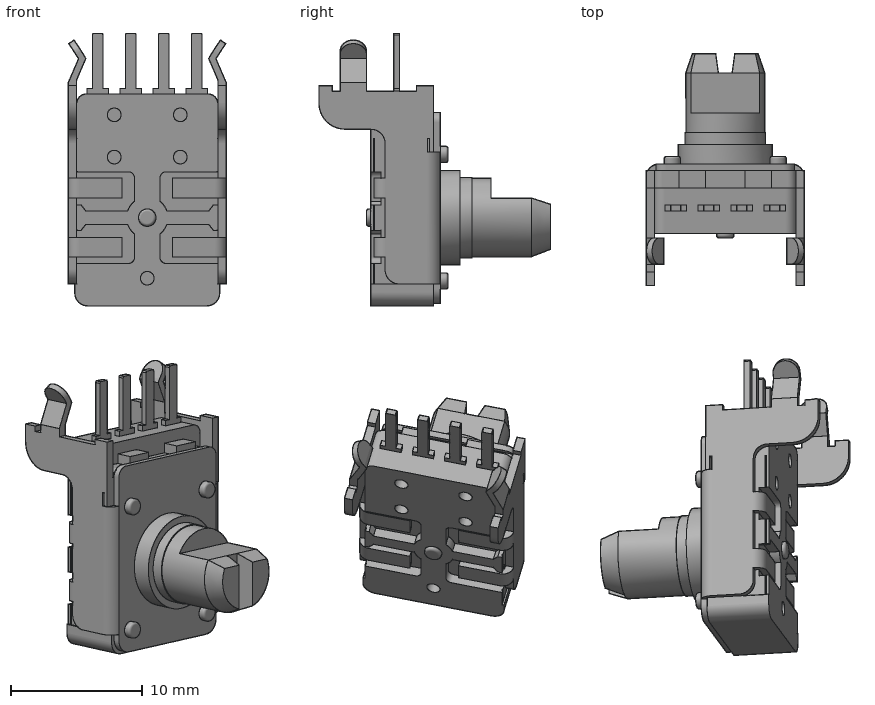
import cadquery as cq
import math


body_depth = 4.78
body_top = 9.4
body_bottom = -6.7
body_half_width = 5.36
body_top_radius = 0.77
ledge_front = 3.48
ledge_top = 7.75
ledge_radius = 0.58
horn_top = 8.49
horn_inner = 1.51
horn_outer = 3.52
groove_front = 0.23
groove_width = 0.08
groove_depth = 0.06
groove_top = 6.0
foot_half_width = 5.5
foot_top = -5.03
foot_radius = 1.0

sheet = 0.65
bracket_half_width = body_half_width + sheet
bracket_bend_radius = 1.0
cover_back = 5.3
cover_top = 8.0
cover_bottom = -6.52
cover_half_width = 5.24
cover_top_radius = 0.77
cover_bottom_radius = 1.04
bend_top = 4.97
relief_width = 0.17
relief_height = 1.04

wall_top = 9.6
lug_top = 10.02
back_lug_front = ledge_front
front_lug_back = -2.9
arm_front = -3.93
arm_bottom = 6.7
arm_radius = 1.99
wall_front = 1.1
wall_corner_radius = 1.08

finger_low = 1.5
finger_high = 3.0
finger_front = 0.25
finger_tip = 1.9

clip_back = -0.31
clip_front = -2.32
clip_width = clip_back - clip_front
clip_kink_x = 5.22
clip_kink_z = 12.07
clip_kink_inner_x = 4.65
clip_bend_outer_z = 10.25
clip_bend_inner_z = 10.43
clip_tip_angle = 33.2
clip_tip_length = 1.37
clip_tip_thickness = 0.5

pocket_depth = 0.79
pocket_inner = 0.97
pocket_low = 0.52
pocket_high = 3.48
pocket_corner_radius = 0.45
pocket_mouth_low = 0.97
pocket_mouth_start = 4.68
pocket_mouth_end = 5.03
pip_land_radius = 1.57

hole_radius = 0.52
hole_depth = 1.0
hole_places = [(-2.5, 7.8), (2.5, 7.8), (-2.5, 4.6), (2.5, 4.6), (0, -4.6)]
pip_radius = 0.66
pip_height = 0.33
pip_rounding = 0.2

pin_pitch = 2.5
pin_count = 4
pin_width = 0.83
overall_height = 20.7
pin_top = body_bottom + overall_height
pin_front = 1.74
pin_back = 2.2
pin_taper = 0.06
pin_taper_height = 0.12
pin_foot_width = 1.64
pin_foot_height = 0.41
pin_embed = 1.04

rivet_x = 4.02
rivet_z = 4.8
rivet_radius = 0.62
rivet_height = 0.58
rivet_rounding = 0.19

boss_radius = 3.58
boss_end = 6.79
collar_radius = 3.06
collar_end = 7.68
shaft_radius = 3.0
flat_start = 9.15
flat_height = 1.5
tip_start = 12.21
tip_end = 13.66
tip_radius = 2.5
flat_tip_height = 1.01
slot_floor_width = 1.04
slot_mouth_width = 1.43


def block(x0, x1, y0, y1, z0, z1):
    """Box between two opposite corners."""
    return cq.Workplane("XY").box(x1 - x0, y1 - y0, z1 - z0, centered=False).translate((x0, y0, z0))


def plane_at_y(y):
    """Workplane at a given Y with local axes X and Z; extrusions run toward -Y."""
    return cq.Workplane("XZ", origin=(0, y, 0))


def cylinder_y(radius, y0, y1, x=0, z=0):
    """Cylinder along Y between y0 and y1."""
    return plane_at_y(y1).center(x, z).circle(radius).extrude(y1 - y0)


def both_sides(half):
    """A +X half together with its mirror image."""
    return half.union(half.mirror("YZ"))


def make_body():
    """Housing block with a low rear ledge, two locating horns on it and a slightly wider foot."""
    upper = block(-body_half_width, body_half_width, 0, ledge_front, foot_top, body_top)
    upper = upper.edges("|Y and >Z").fillet(body_top_radius)
    ledge = block(-body_half_width, body_half_width, ledge_front, body_depth, foot_top, ledge_top)
    ledge = ledge.edges("|Y and >Z").fillet(ledge_radius)
    horn = block(horn_inner, horn_outer, ledge_front, body_depth, foot_top, horn_top)
    foot = block(-foot_half_width, foot_half_width, 0, body_depth, body_bottom, foot_top)
    foot = foot.edges("|Y and <Z").fillet(foot_radius)
    groove = block(
        body_half_width - groove_depth, body_half_width,
        groove_front, groove_front + groove_width,
        foot_top, groove_top,
    )
    return upper.union(ledge).union(both_sides(horn)).union(foot).cut(both_sides(groove))


def make_pocket(side):
    """Pocket under one finger on the +X side, above (side = 1) or below (side = -1) the axis."""
    outline = (
        plane_at_y(pocket_depth)
        .moveTo(pocket_inner, side * pocket_low)
        .lineTo(pocket_mouth_start, side * pocket_low)
        .lineTo(pocket_mouth_end, side * pocket_mouth_low)
        .lineTo(bracket_half_width, side * pocket_mouth_low)
        .lineTo(bracket_half_width, side * pocket_high)
        .lineTo(pocket_inner, side * pocket_high)
        .close()
        .extrude(pocket_depth)
    )
    far_corner = cq.selectors.NearestToPointSelector((pocket_inner, pocket_depth / 2, side * pocket_high))
    outline = outline.edges("|Y").edges(far_corner).fillet(pocket_corner_radius)
    return outline.cut(cylinder_y(pip_land_radius, 0, pocket_depth))


def make_cover():
    """Back plate bent forward into the side walls over its middle length."""
    plate = block(-cover_half_width, cover_half_width, body_depth, cover_back, cover_bottom, cover_top)
    plate = plate.edges("|Y and >Z").fillet(cover_top_radius)
    plate = plate.edges("|Y and <Z").fillet(cover_bottom_radius)
    bend_start = cover_back - bracket_bend_radius - sheet
    bent = block(-bracket_half_width, bracket_half_width, bend_start, cover_back, foot_top, bend_top)
    bent = bent.edges("|Z and >Y").fillet(bracket_bend_radius)
    return plate.union(bent)


def make_wall():
    """Side wall on the +X side, with its lugs and forward arm."""
    wall = (
        cq.Workplane("YZ", origin=(body_half_width, 0, 0))
        .moveTo(body_depth, lug_top)
        .lineTo(back_lug_front, lug_top)
        .lineTo(back_lug_front, wall_top)
        .lineTo(front_lug_back, wall_top)
        .lineTo(front_lug_back, lug_top)
        .lineTo(arm_front, lug_top)
        .lineTo(arm_front, arm_bottom + arm_radius)
        .radiusArc((arm_front + arm_radius, arm_bottom), -arm_radius)
        .lineTo(wall_front - wall_corner_radius, arm_bottom)
        .radiusArc((wall_front, arm_bottom - wall_corner_radius), wall_corner_radius)
        .lineTo(wall_front, foot_top + wall_corner_radius)
        .radiusArc((wall_front + wall_corner_radius, foot_top), -wall_corner_radius)
        .lineTo(cover_back - bracket_bend_radius, foot_top)
        .lineTo(cover_back - bracket_bend_radius, bend_top)
        .lineTo(body_depth, bend_top)
        .close()
        .extrude(sheet)
    )
    relief_front = cover_back - bracket_bend_radius
    relief = block(
        body_half_width, bracket_half_width,
        relief_front, relief_front + relief_width,
        bend_top, bend_top + relief_height,
    )
    return wall.cut(relief)


def make_finger(z_low):
    """Finger on the +X side, curling from the side wall onto the pocket floor."""
    bend_radius = wall_front - finger_front
    inner_radius = bend_radius - sheet
    bend_x = bracket_half_width - bend_radius
    return (
        cq.Workplane("XY", origin=(0, 0, z_low))
        .moveTo(bracket_half_width, wall_front)
        .radiusArc((bend_x, finger_front), bend_radius)
        .lineTo(finger_tip, finger_front)
        .lineTo(finger_tip, finger_front + sheet)
        .lineTo(bend_x, finger_front + sheet)
        .radiusArc((bend_x + inner_radius, wall_front), -inner_radius)
        .close()
        .extrude(finger_high - finger_low)
    )


def make_clip():
    """Kinked snap clip on the +X side: an arm leaning inward, then a round-ended tip leaning outward."""
    angle = math.radians(clip_tip_angle)
    inner_tip_x = clip_kink_x - clip_tip_thickness * math.cos(angle)
    inner_tip_z = clip_kink_z + clip_tip_thickness * math.sin(angle)
    arm = (
        plane_at_y(clip_back)
        .polyline([
            (bracket_half_width, wall_top),
            (bracket_half_width, clip_bend_outer_z),
            (clip_kink_x, clip_kink_z),
            (inner_tip_x, inner_tip_z),
            (clip_kink_inner_x, clip_kink_z),
            (body_half_width, clip_bend_inner_z),
            (body_half_width, wall_top),
        ])
        .close()
        .extrude(clip_width)
    )
    tip_plane = cq.Plane(
        origin=(clip_kink_x, clip_back - clip_width / 2, clip_kink_z),
        xDir=(0, -1, 0),
        normal=(-math.cos(angle), 0, math.sin(angle)),
    )
    half = clip_width / 2
    tip = (
        cq.Workplane(tip_plane)
        .moveTo(-half, 0)
        .lineTo(half, 0)
        .lineTo(half, clip_tip_length - half)
        .threePointArc((0, clip_tip_length), (-half, clip_tip_length - half))
        .close()
        .extrude(clip_tip_thickness)
    )
    return arm.union(tip)


def make_pin(x):
    """Flat terminal with a wide foot on the body and a slightly tapered tip."""
    half = pin_width / 2
    half_foot = pin_foot_width / 2
    foot_height = body_top + pin_foot_height
    return (
        plane_at_y(pin_back)
        .center(x, 0)
        .polyline([
            (-half_foot, body_top - pin_embed),
            (half_foot, body_top - pin_embed),
            (half_foot, foot_height),
            (half, foot_height),
            (half, pin_top - pin_taper_height),
            (half - pin_taper, pin_top),
            (pin_taper - half, pin_top),
            (-half, pin_top - pin_taper_height),
            (-half, foot_height),
            (-half_foot, foot_height),
        ])
        .close()
        .extrude(pin_back - pin_front)
    )


def make_rivet(x, z):
    """Rivet head standing on the back of the cover."""
    rivet = cylinder_y(rivet_radius, body_depth, cover_back + rivet_height, x, z)
    return rivet.faces(">Y").fillet(rivet_rounding)


def make_shaft():
    """Boss, collar and flatted shaft with a slotted, tapered tip."""
    boss = cylinder_y(boss_radius, body_depth, boss_end)
    collar = cylinder_y(collar_radius, body_depth, collar_end)
    shaft = (
        cq.Workplane("XY")
        .polyline([
            (0, body_depth),
            (shaft_radius, body_depth),
            (shaft_radius, tip_start),
            (tip_radius, tip_end),
            (0, tip_end),
        ])
        .close()
        .revolve(360, (0, 0, 0), (0, 1, 0))
    )
    flat = (
        cq.Workplane("YZ")
        .polyline([
            (flat_start, flat_height),
            (tip_start, flat_height),
            (tip_end, flat_tip_height),
            (tip_end, shaft_radius),
            (flat_start, shaft_radius),
        ])
        .close()
        .extrude(shaft_radius, both=True)
    )
    slot = (
        cq.Workplane("XY")
        .polyline([
            (-slot_floor_width / 2, tip_start),
            (slot_floor_width / 2, tip_start),
            (slot_mouth_width / 2, tip_end),
            (-slot_mouth_width / 2, tip_end),
        ])
        .close()
        .extrude(shaft_radius, both=True)
    )
    return boss.union(collar).union(shaft.cut(flat).cut(slot))


result = make_body()
for side in (1, -1):
    result = result.cut(both_sides(make_pocket(side)))
for x, z in hole_places:
    result = result.cut(cylinder_y(hole_radius, 0, hole_depth, x, z))

result = result.union(cylinder_y(pip_radius, -pip_height, 0).faces("<Y").fillet(pip_rounding))
result = result.union(make_cover())
half_bracket = make_wall().union(make_clip())
for z_low in (finger_low, -finger_high):
    half_bracket = half_bracket.union(make_finger(z_low))
result = result.union(both_sides(half_bracket))

for index in range(pin_count):
    result = result.union(make_pin((index - (pin_count - 1) / 2) * pin_pitch))
for x in (-rivet_x, rivet_x):
    for z in (-rivet_z, rivet_z):
        result = result.union(make_rivet(x, z))
result = result.union(make_shaft())